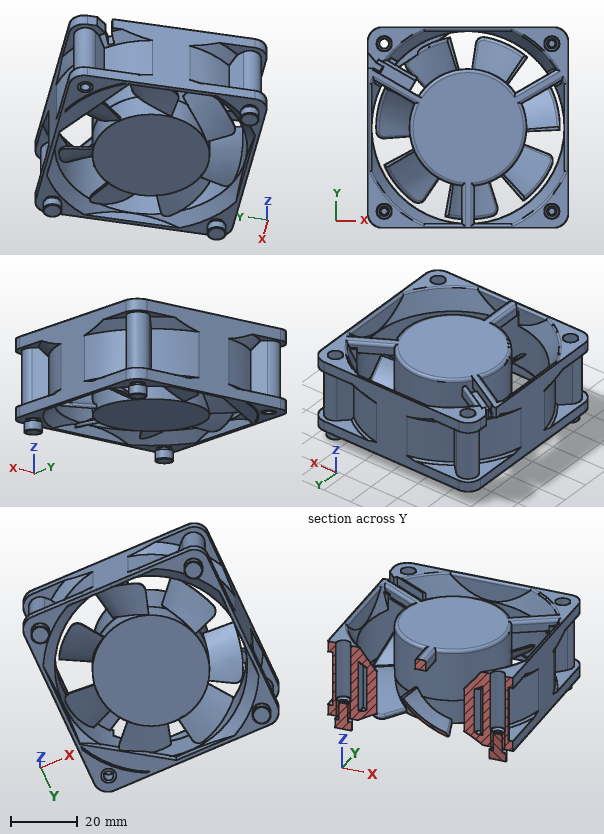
import cadquery as cq
import math


side = 60
height = 24.95
corner_radius = 4.5
lower_flange = 3.5
upper_flange = 3.65
upper_flange_z = height - upper_flange

bore_radius = 57.5 / 2
wall = 1.8
tube_radius = bore_radius + wall
upper_flare_z = 18
upper_flare_angle = 24
lower_flare_z = lower_flange
outer_flare_top_z = 18.35
outer_flare_bottom_z = 4.2
opening_half_width = 28.8
opening_round = 0.7

hole_spacing = 50.05
hole_diameter = 4.6
post_radius = 3.5
hole_places = [(sx * hole_spacing / 2, sy * hole_spacing / 2) for sx in (-1, 1) for sy in (-1, 1)]

hub_radius = 35.0 / 2
hub_bottom_z = 8.0
hub_round = 1.0
strut_half_width = 1.8
strut_round = 0.95
strut_reach = 32.4
rebate_height = 0.6
rebate_depth = 0.1
strut_angles = (30, 150, 270)
cable_strut_angle = 150
pad_half_width = 2.5
pad_top_z = 23.0

channel_start = 20.5
channel_end = 33.3
channel_near = -0.7
channel_far = -4.25
channel_wall = 1.1
channel_wall_round = 0.95
channel_floor_z = 22.1
cable_pad_far = -6.55
entry_start = 30.85
entry_near = -1.2
entry_far = -3.05
entry_bottom_z = 15
entry_mouth_low = 17.65
entry_mouth_high = 22.45

ledge_angle = 124
ledge_distance = 26.45
ledge_outer_radius = 31.8

blade_count = 7
first_blade_angle = 120
blade_tip_radius = 27.5
blade_tip_corner = 2.4
blade_tip_round = 0.95
blade_depth = 1.25
blade_bottom_z = 1.5
blade_top_z = 10.55
rotor_bottom_z = blade_bottom_z - blade_depth
blade_overrun = 2.4
blade_edge_offset = 1.45
blade_edge_slope = 0.23
low_overrun = 0.1
high_overrun = 0.2
blade_entry_rise = 0.3

insert_diameter = 4.5
insert_mouth = 4.25
insert_bore = 2.9
insert_height = 6
screw_places = [place for place in hole_places if place != (-hole_spacing / 2, hole_spacing / 2)]
screw_end_z = 5.0
screw_end_diameter = 2.05
neck_diameter = 3
neck_length = 1.0
head_diameter = 5.5
head_height = 3
head_chamfer = 0.25


def disc(radius, bottom, top):
    return cq.Workplane("XY").workplane(offset=bottom).circle(radius).extrude(top - bottom)


def block(along, across, z_range, angle=0):
    """A box given by its ranges along and across the direction at the angle, and in Z."""
    box = cq.Workplane("XY").box(
        along[1] - along[0], across[1] - across[0], z_range[1] - z_range[0], centered=False
    )
    return box.translate((along[0], across[0], z_range[0])).rotate((0, 0, 0), (0, 0, 1), angle)


def revolved(profile):
    """A solid of revolution about Z from (radius, z) points."""
    return cq.Workplane("XZ").polyline(profile).close().revolve(360, (0, 0, 0), (0, 1, 0))


def rounded_square(bottom, top):
    square = cq.Workplane("XY").workplane(offset=bottom).rect(side, side).extrude(top - bottom)
    return square.edges("|Z").fillet(corner_radius)


def outer_tube(top_z):
    """A solid core as wide as the outside of the duct wall, flaring at 45 degrees at both ends."""
    lower_radius = tube_radius + outer_flare_bottom_z - lower_flange
    upper_radius = tube_radius + top_z - outer_flare_top_z
    return revolved([
        (0, lower_flange),
        (lower_radius, lower_flange),
        (tube_radius, outer_flare_bottom_z),
        (tube_radius, outer_flare_top_z),
        (upper_radius, top_z),
        (0, top_z),
    ])


def corner_post(x, y):
    """A round post with a web of the same width running in to the tube."""
    z_range = (lower_flange, upper_flange_z)
    distance = math.hypot(x, y)
    web = block((bore_radius, distance), (-post_radius, post_radius), z_range,
                math.degrees(math.atan2(y, x)))
    return disc(post_radius, *z_range).translate((x, y, 0)).union(web)


def duct_opening():
    """The bore with its two flares, clipped to a square."""
    lower_radius = bore_radius + lower_flare_z
    upper_radius = bore_radius + (height - upper_flare_z) * math.tan(math.radians(upper_flare_angle))
    flared_bore = revolved([
        (0, 0),
        (lower_radius, 0),
        (bore_radius, lower_flare_z),
        (bore_radius, upper_flare_z),
        (upper_radius, height),
        (0, height),
    ])
    clip = (-opening_half_width, opening_half_width)
    return flared_bore.intersect(block(clip, clip, (0, height)))


def frame():
    """Two square flanges joined by the duct wall and the corner posts, with the duct cut through."""
    outline = rounded_square(0, height)
    middle = outer_tube(upper_flange_z)
    for place in hole_places:
        middle = middle.union(corner_post(*place))
    body = rounded_square(0, lower_flange).union(rounded_square(upper_flange_z, height))
    body = body.union(middle.intersect(outline)).cut(duct_opening())
    opening_rim = body.faces(">Z").wires(cq.selectors.AreaNthSelector(0))
    return opening_rim.edges().fillet(opening_round)


def hub():
    return disc(hub_radius, hub_bottom_z, height).faces(">Z").edges().fillet(hub_round)


def strut(angle):
    """A bar rounded along its top; the cable strut has one plain side and a shallow low rebate."""
    has_cable = angle == cable_strut_angle
    across = (channel_near if has_cable else -strut_half_width, strut_half_width)
    bar = block((0, strut_reach), across, (upper_flange_z, height))
    bar = bar.faces(">Z").edges(">Y" if has_cable else "|X").fillet(strut_round)
    if has_cable:
        rebate_across = (strut_half_width - rebate_depth, strut_half_width)
        rebate_z = (upper_flange_z, upper_flange_z + rebate_height)
        bar = bar.cut(block((0, strut_reach), rebate_across, rebate_z))
    return bar.rotate((0, 0, 0), (0, 0, 1), angle)


def strut_pad(angle):
    """The thicker root under a strut, filling the flare out to the bore surface."""
    across = (cable_pad_far if angle == cable_strut_angle else -pad_half_width, pad_half_width)
    z_range = (upper_flare_z, pad_top_z)
    pad = block((0, entry_start), across, z_range, angle)
    return pad.intersect(outer_tube(height)).cut(disc(bore_radius, *z_range))


def channel_body():
    across = (channel_far - channel_wall, channel_near)
    body = block((channel_start, channel_end), across, (upper_flange_z, height))
    body = body.faces(">Z").edges("<Y").fillet(channel_wall_round)
    return body.rotate((0, 0, 0), (0, 0, 1), cable_strut_angle)


def channel_groove():
    return block((channel_start, channel_end), (channel_far, channel_near), (channel_floor_z, height),
                 cable_strut_angle)


def cable_entry():
    """The slot from the groove's end out through the side of the housing."""
    turn = math.radians(cable_strut_angle)

    def on_strut(along, across):
        return (
            along * math.cos(turn) - across * math.sin(turn),
            along * math.sin(turn) + across * math.cos(turn),
        )

    outline = [
        (-side / 2, entry_mouth_high),
        on_strut(channel_end, entry_far),
        on_strut(entry_start, entry_far),
        on_strut(entry_start, entry_near),
        on_strut(channel_end, entry_near),
        (-side / 2, entry_mouth_low),
    ]
    slot = cq.Workplane("XY").workplane(offset=entry_bottom_z).polyline(outline).close()
    return slot.extrude(height - entry_bottom_z)


def ledge():
    z_range = (0, lower_flange)
    half = side / 2
    segment = block((ledge_distance, side), (-half, half), z_range, ledge_angle)
    return segment.intersect(disc(ledge_outer_radius, *z_range)).intersect(rounded_square(*z_range))


def make_housing():
    outline = rounded_square(0, height)
    body = frame().union(hub())
    for angle in strut_angles:
        body = body.union(strut(angle).union(strut_pad(angle)).intersect(outline))
    body = body.union(channel_body()).union(ledge())
    body = body.cut(channel_groove()).cut(cable_entry())
    for x, y in hole_places:
        body = body.cut(disc(insert_diameter / 2, 0, insert_height).translate((x, y, 0)))
        body = body.cut(disc(hole_diameter / 2, insert_height, height).translate((x, y, 0)))
    return body


def blade_half_width(reach):
    return blade_edge_offset + blade_edge_slope * reach


def blade_section(reach):
    """The curved outline of a blade in the plane x = reach, running past both of its ends."""
    half = blade_half_width(reach)

    def surface_point(share, lift):
        rise_share = share * (blade_entry_rise + (1 - blade_entry_rise) * share)
        z = blade_bottom_z + (blade_top_z - blade_bottom_z) * rise_share
        return (half * (1 - 2 * share), z + lift)

    shares = (-low_overrun, 0.5, 1 + high_overrun)
    low, middle, high = [surface_point(share, 0) for share in shares]
    low_under, middle_under, high_under = [surface_point(share, -blade_depth) for share in shares]
    outline = cq.Workplane("YZ").workplane(offset=reach).moveTo(*low).threePointArc(middle, high)
    outline = outline.lineTo(*high_under).threePointArc(middle_under, low_under).close()
    return outline.wires().val()


def make_blade():
    """One blade centred on +X. It climbs from a low edge at +Y to a flat high edge at -Y."""
    root = hub_radius - blade_overrun
    end = blade_tip_radius + blade_overrun
    sheet = cq.Workplane(cq.Solid.makeLoft([blade_section(root), blade_section(end)], True))
    planform = (
        cq.Workplane("XY")
        .polyline([(root, -end), (end, -end), (end, blade_half_width(end)), (root, blade_half_width(root))])
        .close().extrude(blade_top_z).intersect(disc(blade_tip_radius, 0, blade_top_z))
    )
    planform = planform.edges("|Z and >Y").fillet(blade_tip_corner)
    blade = sheet.intersect(planform)
    upper_face = blade.faces("%BSPLINE").faces(">Z")
    return upper_face.edges("not(>Z or <X)").fillet(blade_tip_round)


def make_impeller():
    body = disc(hub_radius, rotor_bottom_z, hub_bottom_z)
    blade = make_blade()
    for number in range(blade_count):
        angle = first_blade_angle + number * 360 / blade_count
        body = body.union(blade.rotate((0, 0, 0), (0, 0, 1), angle))
    return body.cut(disc(hub_radius, hub_bottom_z, height))


def make_insert(x, y):
    body = revolved([
        (insert_bore / 2, 0),
        (insert_diameter / 2, 0),
        (insert_diameter / 2, insert_height),
        (insert_mouth / 2, insert_height),
        (insert_bore / 2, insert_height - (insert_mouth - insert_bore) / 2),
    ])
    return body.translate((x, y, 0))


def make_screw(x, y):
    head_top = -neck_length
    thread_radius = insert_bore / 2
    head = disc(head_diameter / 2, head_top - head_height, head_top).faces("<Z").edges().chamfer(head_chamfer)
    neck = disc(neck_diameter / 2, head_top, 0)
    thread = disc(thread_radius, 0, screw_end_z)
    thread = thread.faces(">Z").edges().chamfer(thread_radius - screw_end_diameter / 2)
    return head.union(neck).union(thread).translate((x, y, 0))


impeller = make_impeller()
housing = make_housing().cut(impeller)
inserts = [make_insert(x, y) for x, y in hole_places]
screws = [make_screw(x, y) for x, y in screw_places]

result = cq.Compound.makeCompound(
    [housing.val(), impeller.val()]
    + [insert.val() for insert in inserts]
    + [screw.val() for screw in screws]
)